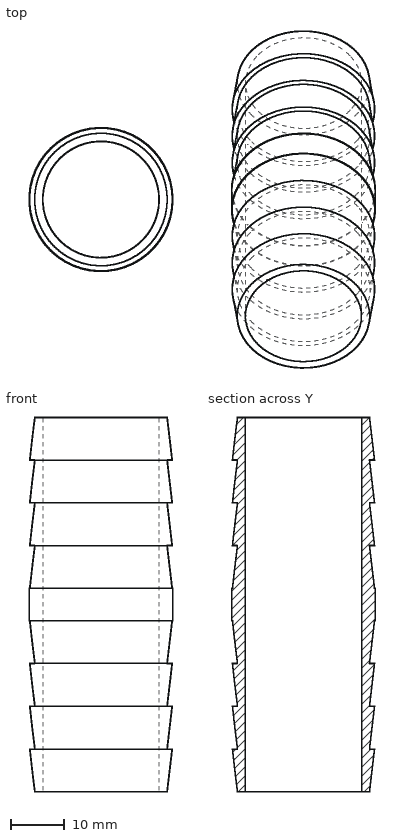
import cadquery as cq

total_length = 70.0
collar_length = 6.0
barbs_per_end = 4
barb_length = (total_length - collar_length) / (2 * barbs_per_end)

collar_radius = 26.9 / 2
barb_crest_radius = 26.7 / 2
barb_root_radius = 24.8 / 2
bore_radius = 21.7 / 2


def upper_half_outline():
    """(radius, height) corners from the collar edge up to the bore rim."""
    half_collar = collar_length / 2
    corners = [(collar_radius, half_collar)]
    for index in range(barbs_per_end):
        barb_base = half_collar + index * barb_length
        corners.append((barb_crest_radius, barb_base))
        corners.append((barb_root_radius, barb_base + barb_length))
    corners.append((bore_radius, total_length / 2))
    return corners


upper_outline = upper_half_outline()
lower_outline = [(radius, -height) for radius, height in reversed(upper_outline)]
wall_section = cq.Workplane("XZ").polyline(lower_outline + upper_outline).close()

result = wall_section.revolve(360, (0, 0, 0), (0, 1, 0))